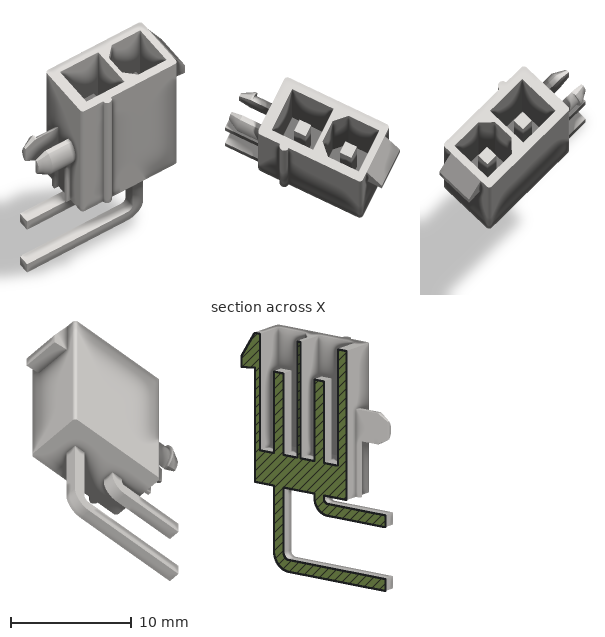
import cadquery as cq
import math


housing_width = 5.4
housing_depth = 9.6
housing_height = 12.8
corner_radius = 0.3

pitch = 4.2
cavity_width = 3.87
cavity_length = 3.8
cavity_depth = 9.96
key_chamfer = 0.98
back_wall = 0.62
rear_contact_y = housing_depth - back_wall - cavity_length / 2
front_contact_y = rear_contact_y - pitch
cavity_floor = housing_height - cavity_depth

overall_height = 19.93
pin_size = 1.05
pin_reach = 4.0
contact_height = 6.98
pin_tip_z = cavity_floor + contact_height
rear_leg_bottom = housing_height - overall_height
front_leg_bottom = -1.67
rear_bend_radius = 0.5
front_bend_radius = 0.32

latch_width = 3.43
latch_reach = 1.4
latch_ramp_drop = 2.25
latch_root_drop = 3.03
latch_tip_drop = 3.19

side_rib_radius = 0.4
side_rib_y = 2.51

peg_z = 6.2
peg_height = 2.67
peg_radius = 1.77
barbed_shaft_radius = 1.51
peg_gap = 1.45
shaft_length = 2.15
barb_start = 2.3
peg_length = 3.3
tip_inset = 0.55

standoff_width = 0.32
standoff_depth = 0.42
standoff_height = 5.12


def make_housing():
    """Block with rounded vertical corners."""
    block = cq.Workplane("XY").box(
        housing_width, housing_depth, housing_height, centered=(True, False, False)
    )
    return block.edges("|Z").fillet(corner_radius)


def make_cavity(center_y):
    """Rectangular cavity centred on a contact."""
    return (
        cq.Workplane("XY", origin=(0, center_y, cavity_floor))
        .rect(cavity_width, cavity_length)
        .extrude(cavity_depth)
    )


def make_pin(center_y, leg_bottom, inner_radius):
    """Square pin that comes down through the housing and bends toward -Y."""
    back = center_y + pin_size / 2
    front = center_y - pin_size / 2
    leg_top = leg_bottom + pin_size
    outline = (
        cq.Workplane("YZ", origin=(-pin_size / 2, 0, 0))
        .moveTo(front, pin_tip_z)
        .lineTo(back, pin_tip_z)
        .lineTo(back, leg_bottom)
        .lineTo(-pin_reach, leg_bottom)
        .lineTo(-pin_reach, leg_top)
        .lineTo(front, leg_top)
        .close()
    )
    pin = outline.extrude(pin_size)
    outer_corner = cq.selectors.NearestToPointSelector((0, back, leg_bottom))
    inner_corner = cq.selectors.NearestToPointSelector((0, front, leg_top))
    pin = pin.edges(outer_corner).fillet(inner_radius + pin_size)
    return pin.edges(inner_corner).fillet(inner_radius)


def make_latch():
    """Sloped latch with a slightly undercut lower face."""
    tip_y = housing_depth + latch_reach
    return (
        cq.Workplane("YZ")
        .moveTo(housing_depth, housing_height)
        .lineTo(tip_y, housing_height - latch_ramp_drop)
        .lineTo(tip_y, housing_height - latch_tip_drop)
        .lineTo(housing_depth, housing_height - latch_root_drop)
        .close()
        .extrude(latch_width / 2, both=True)
    )


def make_side_rib():
    """Full-height round rib, half buried in the side wall."""
    return (
        cq.Workplane("XY")
        .center(housing_width / 2, side_rib_y)
        .circle(side_rib_radius)
        .extrude(housing_height)
    )


def peg_section(radius, start):
    """Circle with flat top and bottom, on a plane at a distance from the front face."""
    half_height = peg_height / 2
    half_flat = (radius**2 - half_height**2) ** 0.5
    return (
        cq.Workplane("XZ", origin=(0, -start, peg_z))
        .moveTo(-half_flat, half_height)
        .lineTo(half_flat, half_height)
        .threePointArc((radius, 0), (half_flat, -half_height))
        .lineTo(-half_flat, -half_height)
        .threePointArc((-radius, 0), (-half_flat, half_height))
        .close()
    )


def make_peg_half(side, shaft_radius):
    """One prong of the split peg; side is +1 for +X and -1 for -X."""
    taper_length = peg_length - barb_start
    taper_angle = math.degrees(math.atan2(tip_inset, taper_length))
    prong = (
        peg_section(shaft_radius, 0).extrude(shaft_length)
        .union(peg_section(peg_radius, shaft_length).extrude(barb_start - shaft_length))
        .union(peg_section(peg_radius, barb_start).extrude(taper_length, taper=taper_angle))
    )
    prong_width = peg_radius - peg_gap / 2
    prong_space = cq.Workplane("XY").box(prong_width, peg_length, peg_height).translate(
        (side * (peg_gap + prong_width) / 2, -peg_length / 2, peg_z)
    )
    return prong.intersect(prong_space)


def make_standoff(side):
    """Upright rib flush with the inner face of a peg prong."""
    center_x = side * (peg_gap + standoff_width) / 2
    return cq.Workplane("XY").box(standoff_width, standoff_depth, standoff_height).translate(
        (center_x, -standoff_depth / 2, standoff_height / 2)
    )


rear_cavity = make_cavity(rear_contact_y).edges("|Z and <Y").chamfer(key_chamfer)
front_cavity = make_cavity(front_contact_y)

result = make_housing().union(make_latch()).union(make_side_rib())
result = result.cut(rear_cavity).cut(front_cavity)

result = result.union(make_pin(rear_contact_y, rear_leg_bottom, rear_bend_radius))
result = result.union(make_pin(front_contact_y, front_leg_bottom, front_bend_radius))

for side, shaft_radius in ((-1, barbed_shaft_radius), (1, peg_radius)):
    result = result.union(make_peg_half(side, shaft_radius))
    result = result.union(make_standoff(side))